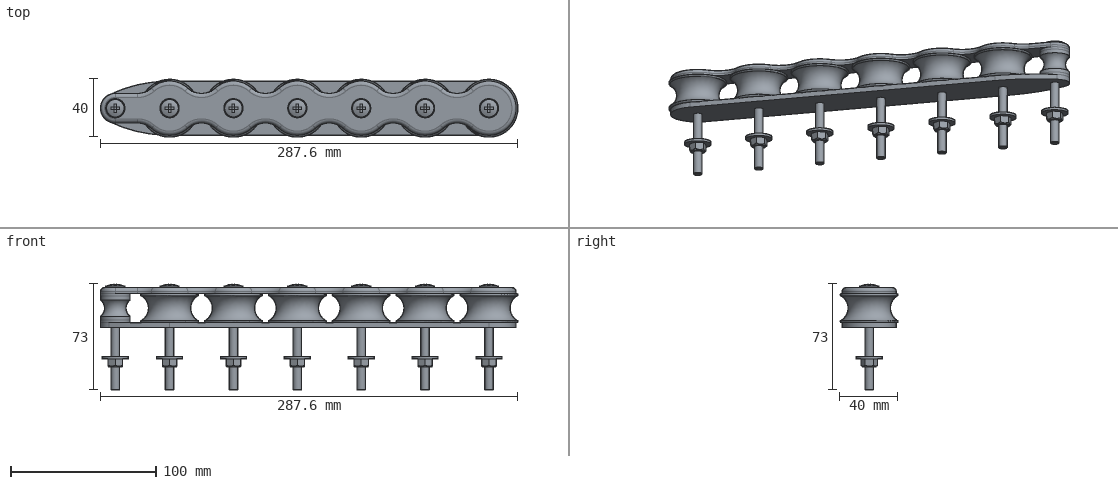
import cadquery as cq
import math

roller_count = 6
roller_pitch = 44.0
first_roller_x = 37.3
roller_xs = [first_roller_x + i * roller_pitch for i in range(roller_count)]
last_roller_x = roller_xs[-1]
bolt_xs = [0.0] + roller_xs

base_thickness = 3.5
roller_height = 19.8
cover_thickness = 4.3
cover_bottom = base_thickness + roller_height
cover_top = cover_bottom + cover_thickness
roller_mid = base_thickness + roller_height / 2
end_roller_height = 16.5
end_roller_low = roller_mid - end_roller_height / 2
end_roller_high = roller_mid + end_roller_height / 2

plate_radius = 18.7
end_radius = 20.5 / 2
cover_fillet = 3.0

roller_radius = 40.0 / 2
roller_waist_radius = 14.6
roller_groove_height = 16.7
end_waist_radius = 7.5
end_groove_height = 11.2

bolt_radius = 6.0 / 2
bolt_length_below = 43.0
bolt_tip_chamfer = 0.5
head_rim_radius = 6.5
head_rim_height = 1.0
dome_base_radius = 12.0 / 2
dome_height = 1.5
cross_length = 6.0
cross_width = 1.7
cross_depth = 1.1
cross_centre_depth = 1.7

washer_radius = 18.0 / 2
washer_thickness = 1.7
washer_top = -19.8
nut_flats = 10.0
nut_height = 5.5
nut_face_radius = 4.5
nut_chamfer_height = 1.1
nut_top = washer_top - washer_thickness
nut_bottom = nut_top - nut_height


def make_base():
    """Flat plate whose sides curve in, tangentially, to the small end."""
    side_radius = (first_roller_x**2 + plate_radius**2 - end_radius**2) / (2 * (plate_radius - end_radius))
    side_centre_y = plate_radius - side_radius
    touch_scale = end_radius / (side_radius - end_radius)
    touch_x = -first_roller_x * touch_scale
    touch_y = -side_centre_y * touch_scale
    mid_angle = (math.pi / 2 + math.atan2(-side_centre_y, -first_roller_x)) / 2
    mid_x = first_roller_x + side_radius * math.cos(mid_angle)
    mid_y = side_centre_y + side_radius * math.sin(mid_angle)
    return (
        cq.Workplane("XY")
        .moveTo(touch_x, -touch_y)
        .threePointArc((-end_radius, 0), (touch_x, touch_y))
        .threePointArc((mid_x, mid_y), (first_roller_x, plate_radius))
        .lineTo(last_roller_x, plate_radius)
        .threePointArc((last_roller_x + plate_radius, 0), (last_roller_x, -plate_radius))
        .lineTo(first_roller_x, -plate_radius)
        .threePointArc((mid_x, -mid_y), (touch_x, -touch_y))
        .close()
        .extrude(base_thickness)
    )


def make_cover():
    """Top plate that bulges over each roller and necks in between them."""
    half_pitch = roller_pitch / 2
    neck = end_radius
    neck_radius = (half_pitch**2 + neck**2 - plate_radius**2) / (2 * (plate_radius - neck))
    bulge_angle = math.atan2(half_pitch, neck + neck_radius)
    touch_x = plate_radius * math.sin(bulge_angle)
    touch_y = plate_radius * math.cos(bulge_angle)
    neck_mid_x = half_pitch - neck_radius * math.sin(bulge_angle / 2)
    neck_mid_y = neck + neck_radius * (1 - math.cos(bulge_angle / 2))

    outline = cq.Workplane("XY", origin=(0, 0, cover_bottom)).moveTo(0, -neck)
    outline = outline.threePointArc((-end_radius, 0), (0, neck))
    outline = outline.lineTo(first_roller_x - half_pitch, neck)
    for x in roller_xs:
        outline = outline.threePointArc((x - neck_mid_x, neck_mid_y), (x - touch_x, touch_y))
        if x == last_roller_x:
            break
        outline = outline.threePointArc((x, plate_radius), (x + touch_x, touch_y))
        outline = outline.threePointArc((x + neck_mid_x, neck_mid_y), (x + half_pitch, neck))
    outline = outline.threePointArc((last_roller_x + plate_radius, 0), (last_roller_x - touch_x, -touch_y))
    for x in reversed(roller_xs):
        if x != last_roller_x:
            outline = outline.threePointArc((x + neck_mid_x, -neck_mid_y), (x + touch_x, -touch_y))
            outline = outline.threePointArc((x, -plate_radius), (x - touch_x, -touch_y))
        outline = outline.threePointArc((x - neck_mid_x, -neck_mid_y), (x - half_pitch, -neck))
    cover = outline.close().extrude(cover_thickness)
    return cover.faces(">Z").edges().fillet(cover_fillet)


def revolve_profile(profile):
    """Turn a closed XZ half-profile around the Z axis."""
    return profile.revolve(360, (0, 0, 0), (0, 1, 0))


def make_roller(x):
    """Full-width roller with a concave groove between two full-round rims."""
    rim_height = (roller_height - roller_groove_height) / 2
    rim_edge_radius = roller_radius - rim_height / 2
    groove_low = base_thickness + rim_height
    groove_high = cover_bottom - rim_height
    profile = (
        cq.Workplane("XZ")
        .moveTo(0, base_thickness)
        .lineTo(rim_edge_radius, base_thickness)
        .threePointArc((roller_radius, base_thickness + rim_height / 2), (rim_edge_radius, groove_low))
        .threePointArc((roller_waist_radius, roller_mid), (rim_edge_radius, groove_high))
        .threePointArc((roller_radius, cover_bottom - rim_height / 2), (rim_edge_radius, cover_bottom))
        .lineTo(0, cover_bottom)
        .close()
    )
    return revolve_profile(profile).translate((x, 0, 0))


def make_end_roller():
    """Small roller with a concave groove between two cylindrical rims."""
    groove_low = roller_mid - end_groove_height / 2
    groove_high = roller_mid + end_groove_height / 2
    profile = (
        cq.Workplane("XZ")
        .moveTo(0, end_roller_low)
        .lineTo(end_radius, end_roller_low)
        .lineTo(end_radius, groove_low)
        .threePointArc((end_waist_radius, roller_mid), (end_radius, groove_high))
        .lineTo(end_radius, end_roller_high)
        .lineTo(0, end_roller_high)
        .close()
    )
    return revolve_profile(profile)


def make_end_spacer(bottom, top):
    """Disc between the small end roller and the plate next to it."""
    return cq.Workplane("XY", origin=(0, 0, bottom)).circle(end_radius).extrude(top - bottom)


def make_bolt(x):
    """Bolt with a rimmed, domed head and a cross recess that is deeper in the centre."""
    shank_length = bolt_length_below + cover_top
    shank = cq.Workplane("XY", origin=(0, 0, -bolt_length_below)).circle(bolt_radius).extrude(shank_length)
    shank = shank.faces("<Z").chamfer(bolt_tip_chamfer)

    rim = cq.Workplane("XY", origin=(0, 0, cover_top)).circle(head_rim_radius).extrude(head_rim_height)
    dome_bottom = cover_top + head_rim_height
    head_top = dome_bottom + dome_height
    sphere_radius = (dome_base_radius**2 + dome_height**2) / (2 * dome_height)
    sphere = cq.Workplane("XY").sphere(sphere_radius).translate((0, 0, head_top - sphere_radius))
    dome = cq.Workplane("XY", origin=(0, 0, dome_bottom)).circle(dome_base_radius).extrude(dome_height)
    dome = dome.intersect(sphere)

    recess = cq.Workplane("XY", origin=(0, 0, head_top))
    cross = recess.rect(cross_length, cross_width).extrude(-cross_depth)
    cross = cross.union(recess.rect(cross_width, cross_length).extrude(-cross_depth))
    cross = cross.union(recess.rect(cross_width, cross_width).extrude(-cross_centre_depth))
    return shank.union(rim).union(dome).cut(cross).translate((x, 0, 0))


def make_washer_and_nut(x):
    """Washer with a hexagonal nut below it, the lower nut corners bevelled."""
    washer = cq.Workplane("XY", origin=(0, 0, nut_top)).circle(washer_radius).extrude(washer_thickness)

    corner_radius = nut_flats / math.sqrt(3)
    nut = cq.Workplane("XY", origin=(0, 0, nut_bottom)).polygon(6, 2 * corner_radius).extrude(nut_height)
    nut = nut.rotate((0, 0, 0), (0, 0, 1), 90)
    bevel = (
        cq.Workplane("XZ")
        .moveTo(0, nut_bottom)
        .lineTo(nut_face_radius, nut_bottom)
        .lineTo(corner_radius, nut_bottom + nut_chamfer_height)
        .lineTo(corner_radius, nut_top)
        .lineTo(0, nut_top)
        .close()
    )
    return washer.union(nut.intersect(revolve_profile(bevel))).translate((x, 0, 0))


result = make_base().union(make_cover(), clean=False)
result = result.union(make_end_roller(), clean=False)
result = result.union(make_end_spacer(base_thickness, end_roller_low), clean=False)
result = result.union(make_end_spacer(end_roller_high, cover_bottom), clean=False)

for roller_x in roller_xs:
    result = result.union(make_roller(roller_x), clean=False)

for bolt_x in bolt_xs:
    result = result.union(make_bolt(bolt_x), clean=False)
    result = result.union(make_washer_and_nut(bolt_x), clean=False)